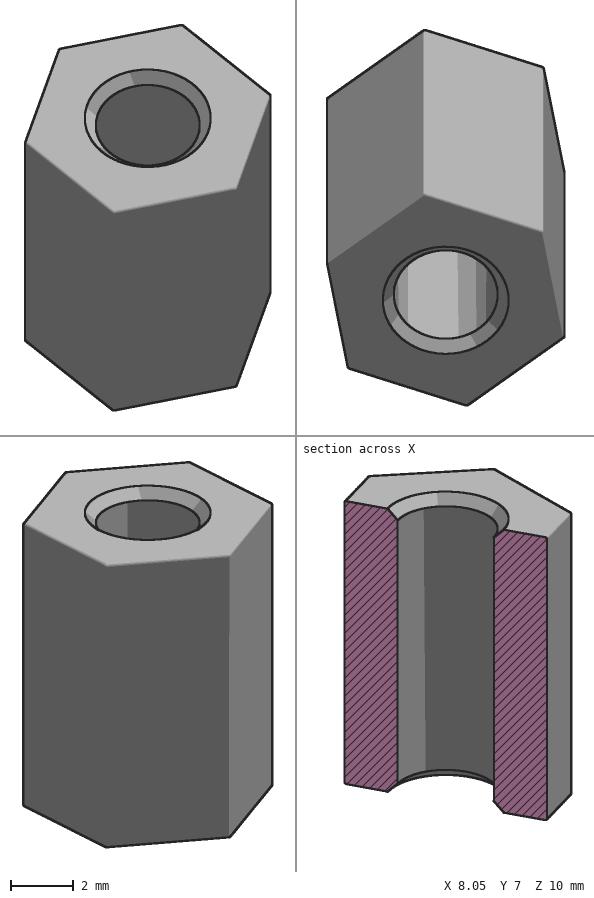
import cadquery as cq
import math

height = 10.0
across_flats = 7.0
edge_radius = 0.1
bore_diameter = 3.3
countersink_diameter = 4.0

countersink_depth = (countersink_diameter - bore_diameter) / 2
sharp_across_corners = across_flats / math.cos(math.radians(30))


def hex_body():
    """Hexagonal bar with corners on the X axis and every outer edge rounded."""
    bar = cq.Workplane("XY").polygon(6, sharp_across_corners).extrude(height)
    return bar.edges().fillet(edge_radius)


def countersunk_bore():
    """Through bore, widened by a 45 degree countersink at both ends."""
    bore_radius = bore_diameter / 2
    mouth_radius = countersink_diameter / 2
    profile = (
        cq.Workplane("XZ")
        .lineTo(mouth_radius, 0)
        .lineTo(bore_radius, countersink_depth)
        .lineTo(bore_radius, height - countersink_depth)
        .lineTo(mouth_radius, height)
        .lineTo(0, height)
        .close()
    )
    return profile.revolve(360, (0, 0, 0), (0, 1, 0))


result = hex_body().cut(countersunk_bore())